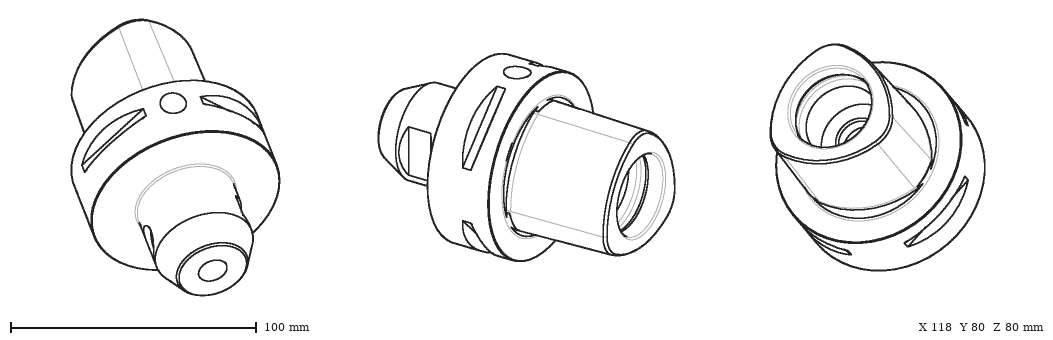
import cadquery as cq
import math


shank_end = 45.5
collar_start = 48.0
collar_end = 77.9
nose_cone_start = 105.4
total_length = 118.0

lobe_reach = 29.5
flank_reach = 25.5
lobe_radius = 14.2
shank_taper = 0.025
tip_chamfer_length = 1.4
tip_chamfer_depth = 0.8

collar_dia = 80.0
collar_chamfer = 0.4
seat_height = 0.4
undercut_ring_radius = 30.2
undercut_section_radius = 1.4
slot_floor_distance = 35.5
slot_floor_width = 4.0
slot_mouth_width = 8.7
grip_station = 59.8
dimple_dia = 11.3

nose_dia = 41.5
nose_root_fillet = 0.7
nose_tip_dia = 30.3
nose_tip_chamfer = 0.8
screw_station = 95.8
screw_hole_dia = 10.1
screw_sink_dia = 14.9
flat_distance = 17.6
flat_floor_length = 10.7
flat_mouth_length = 16.0

lip_dia = 35.2
lip_round = 0.8
lip_end = 7.8
lip_back_length = 1.4
lip_back_rise = 0.5
groove_dia = 38.0
groove_round = 2.4
socket_start = 16.3
socket_dia = 32.0
socket_depth = 35.4
pilot_dia = 17.8
pilot_chamfer = 1.0
pilot_end = 42.5
drill_point_angle = 118
relief_dia = 12.5
relief_end = 82.6
tool_bore_dia = 12.0


def polar(distance, angle):
    """Point at the given distance and angle (degrees)."""
    radians = math.radians(angle)
    return distance * math.cos(radians), distance * math.sin(radians)


def lobed_outline(station, inset):
    """Three-lobed outline of six tangent arcs, shifted inward by inset, at X = station."""
    lobe_offset = lobe_reach - lobe_radius
    reach_gap = flank_reach - lobe_reach
    flank_offset = -reach_gap * (reach_gap + 2 * lobe_offset) / (lobe_offset + 2 * reach_gap)
    seam_angle = math.degrees(math.atan2(
        flank_offset * math.sin(math.radians(60)),
        lobe_offset + flank_offset * math.cos(math.radians(60)),
    ))
    radius = lobe_radius - inset

    def seam(lobe_angle, side):
        center_y, center_z = polar(lobe_offset, lobe_angle)
        step_y, step_z = polar(radius, lobe_angle + side * seam_angle)
        return center_y + step_y, center_z + step_z

    outline = cq.Workplane("YZ", origin=(station, 0, 0)).moveTo(*seam(90, -1))
    for lobe_angle in (90, 210, 330):
        outline = outline.threePointArc(polar(lobe_reach - inset, lobe_angle), seam(lobe_angle, 1))
        outline = outline.threePointArc(
            polar(flank_reach - inset, lobe_angle + 60), seam(lobe_angle + 120, -1)
        )
    return outline.close().wires().val()


def lobed_solid(start, start_inset, end, end_inset):
    wires = [lobed_outline(start, start_inset), lobed_outline(end, end_inset)]
    return cq.Workplane(cq.Solid.makeLoft(wires, True))


def make_shank():
    chamfer_inset = shank_taper * (shank_end - tip_chamfer_length)
    tip = lobed_solid(0, chamfer_inset + tip_chamfer_depth, tip_chamfer_length, chamfer_inset)
    taper = lobed_solid(tip_chamfer_length, chamfer_inset, shank_end, 0)
    neck = lobed_solid(shank_end, 0, collar_start, 0)
    return tip.union(taper).union(neck)


def make_collar():
    collar = (
        cq.Workplane("YZ", origin=(collar_start, 0, 0))
        .circle(collar_dia / 2)
        .extrude(collar_end - collar_start)
        .edges()
        .chamfer(collar_chamfer)
    )
    seat = (
        cq.Workplane("YZ", origin=(collar_start - seat_height, 0, 0))
        .circle(undercut_ring_radius)
        .extrude(seat_height)
    )
    return collar.union(seat)


def make_undercut():
    """Round groove that trims the seat edge and the lobe tips beside the collar face."""
    center_x = collar_start - undercut_section_radius
    return (
        cq.Workplane("XY")
        .center(center_x, undercut_ring_radius)
        .circle(undercut_section_radius)
        .revolve(360, (0, -undercut_ring_radius, 0), (1, -undercut_ring_radius, 0))
    )


def make_nose():
    nose_radius = nose_dia / 2
    tip_radius = nose_tip_dia / 2
    root_end = collar_end + nose_root_fillet
    fillet_mid = nose_root_fillet * (1 - math.sqrt(0.5))
    return (
        cq.Workplane("XY")
        .moveTo(collar_end, 0)
        .lineTo(collar_end, nose_radius + nose_root_fillet)
        .threePointArc((collar_end + fillet_mid, nose_radius + fillet_mid), (root_end, nose_radius))
        .lineTo(nose_cone_start, nose_radius)
        .lineTo(total_length - nose_tip_chamfer, tip_radius)
        .lineTo(total_length, tip_radius - nose_tip_chamfer)
        .lineTo(total_length, 0)
        .close()
        .revolve(360, (0, 0, 0), (1, 0, 0))
    )


def make_grip_slots():
    """Four flared flat-bottomed slots across the collar, between the Y and Z axes."""
    collar_radius = collar_dia / 2
    half_floor = slot_floor_width / 2
    half_mouth = slot_mouth_width / 2
    slot = (
        cq.Workplane("XY")
        .polyline([
            (grip_station - half_floor, slot_floor_distance),
            (grip_station + half_floor, slot_floor_distance),
            (grip_station + half_mouth, collar_radius),
            (grip_station - half_mouth, collar_radius),
        ])
        .close()
        .extrude(collar_radius, both=True)
    )
    slots = cq.Workplane("XY")
    for angle in (45, 135, 225, 315):
        slots = slots.add(slot.rotate((0, 0, 0), (1, 0, 0), angle))
    return slots.combine()


def make_dimple():
    """Right-angled conical dimple on top of the collar."""
    depth = dimple_dia / 2
    cone = cq.Solid.makeCone(
        0, depth, depth, cq.Vector(grip_station, 0, collar_dia / 2 - depth), cq.Vector(0, 0, 1)
    )
    return cq.Workplane(cone)


def make_screw_hole():
    """Countersunk clamping screw hole from -Y into the tool bore."""
    nose_radius = nose_dia / 2
    hole = cq.Workplane("XZ", origin=(screw_station, 0, 0)).circle(screw_hole_dia / 2).extrude(nose_radius)
    sink = cq.Solid.makeCone(
        screw_sink_dia / 2, 0, screw_sink_dia / 2,
        cq.Vector(screw_station, -nose_radius, 0), cq.Vector(0, 1, 0),
    )
    return hole.union(cq.Workplane(sink))


def make_nose_flat():
    """Flat with sloped ends across the +Y side of the nose."""
    nose_radius = nose_dia / 2
    half_floor = flat_floor_length / 2
    half_mouth = flat_mouth_length / 2
    return (
        cq.Workplane("XY")
        .polyline([
            (screw_station - half_floor, flat_distance),
            (screw_station + half_floor, flat_distance),
            (screw_station + half_mouth, nose_radius),
            (screw_station - half_mouth, nose_radius),
        ])
        .close()
        .extrude(nose_radius, both=True)
    )


def make_bores():
    """Stepped through bore: rounded lip, coupling groove, socket, drilled pilot, relief and tool bore."""
    lip_radius = lip_dia / 2
    groove_radius = groove_dia / 2
    socket_radius = socket_dia / 2
    pilot_radius = pilot_dia / 2
    relief_radius = relief_dia / 2
    tool_radius = tool_bore_dia / 2

    lip_sag = lip_round * (1 - math.sqrt(0.5))
    groove_start = lip_end + lip_back_length

    round_center = groove_radius - groove_round
    mid_x, mid_drop = polar(groove_round, 67.5)
    end_x, end_drop = polar(groove_round, 45)
    cone_start_radius = round_center + end_drop
    cone_start = socket_start - (cone_start_radius - socket_radius)
    groove_floor_end = cone_start - end_x

    pilot_point = (pilot_radius - relief_radius) / math.tan(math.radians(drill_point_angle / 2))
    return (
        cq.Workplane("XY")
        .lineTo(0, lip_radius + lip_round)
        .threePointArc((lip_sag, lip_radius + lip_sag), (lip_round, lip_radius))
        .lineTo(lip_end, lip_radius)
        .lineTo(groove_start, lip_radius + lip_back_rise)
        .lineTo(groove_start, groove_radius)
        .lineTo(groove_floor_end, groove_radius)
        .threePointArc((groove_floor_end + mid_x, round_center + mid_drop), (cone_start, cone_start_radius))
        .lineTo(socket_start, socket_radius)
        .lineTo(socket_depth, socket_radius)
        .lineTo(socket_depth, pilot_radius + pilot_chamfer)
        .lineTo(socket_depth + pilot_chamfer, pilot_radius)
        .lineTo(pilot_end, pilot_radius)
        .lineTo(pilot_end + pilot_point, relief_radius)
        .lineTo(relief_end, relief_radius)
        .lineTo(relief_end, tool_radius)
        .lineTo(total_length, tool_radius)
        .lineTo(total_length, 0)
        .close()
        .revolve(360, (0, 0, 0), (1, 0, 0))
    )


result = make_shank().union(make_collar()).union(make_nose())
for cutter in (
    make_undercut(),
    make_grip_slots(),
    make_dimple(),
    make_screw_hole(),
    make_nose_flat(),
    make_bores(),
):
    result = result.cut(cutter)